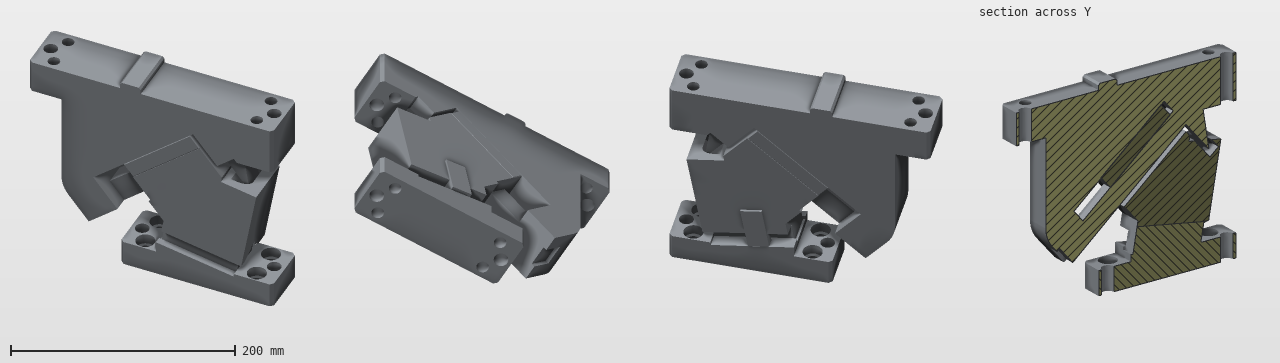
import cadquery as cq
import math

LENGTH = 240.0
WIDTH = 50.0
HALF_WIDTH = WIDTH / 2
CORNER_CHAMFER = 3.0

FLANGE_TOP = 200.0
LEFT_FLANGE_BOTTOM = 167.5
RIGHT_FLANGE_BOTTOM = 153.0
BODY_LEFT = 32.2
TIP_X = 59.0
TIP_Z = 37.0
BEND_RADIUS = 30.0
CAM_ANGLE = 40.0
CAM_FACE_LENGTH = 186.2
KEY_LEFT = 89.8
KEY_LENGTH = 20.5
KEY_HEIGHT = 6.5
KEY_CHAMFER = 2.0
SLOT_START = 36.7
SLOT_END = 165.0
SLOT_DEPTH = 37.0
RAIL_HEIGHT = 22.0
RAIL_WIDTH = 21.0
LUG_END = 188.6
LUG_SIDE_ANGLE = 9.0
NOSE_NOTCH_WIDTH = 20.5
NOSE_NOTCH_HEIGHT = 22.5
NOSE_NOTCH_DEPTH = 3.5

BASE_LEFT = 90.0
BASE_HEIGHT = 25.0
RISER_LEFT = 125.0
RISER_TOP = 35.5
BASE_ANGLE = 10.0
SLOPE_LENGTH = 77.5
RIB_START = 3.0
RIB_CENTRE_Y = -3.0
RIB_WIDTH = 30.5
RIB_SHOULDER = 14.2
RIB_ROOF_RISE = 9.0
RIB_FLAT = 7.0
RIB_GROOVE_DEPTH = 3.5

SLIDER_BOTTOM = 15.0
SLIDER_TOP = 100.3
SLIDER_LENGTH = 82.5
SHOULDER_START = 47.3
CAM_SIDE_LEFT = 75.4
CAM_SIDE_RIGHT = 160.8
SIDE_STEP = 2.6
STEP_DEPTH = 5.0
HEAD_CHAMFER = 0.7
RIB_RELIEF = 3.4
CHANNEL_CLEARANCE = 0.5
LUG_POCKET_WIDTH = 32.6
LUG_POCKET_END = 172.5
LUG_POCKET_DEPTH = 45.5
LUG_POCKET_RADIUS = 8.2
RETAINER_LEFT = 22.0
RETAINER_WIDTH = 20.0
RETAINER_BOTTOM = 2.2
RETAINER_HEIGHT = 40.8
RETAINER_OVERHANG = 2.2
RETAINER_FACE_Y = 18.2
HOOK_SETBACK = 2.0

DOWEL_DIAMETER = 13.2
DOWEL_INSET = 10.0
BOLT_DIAMETER = 11.3
BOLT_INSET = 20.2
BOLT_SPACING = 30.0
COUNTERBORE_DIAMETER = 18.0
COUNTERBORE_DEPTH = 10.0

CUT_MARGIN = 24.0


def direction(angle):
    """Unit vector along a slope, as (x, z)."""
    return math.cos(math.radians(angle)), math.sin(math.radians(angle))


def slope_plane(x, z, angle, y=0.0):
    """Plane facing -Y whose local x runs up a slope and local y rises from it."""
    dx, dz = direction(angle)
    return cq.Plane(origin=(x, y, z), xDir=(dx, 0, dz), normal=(0, -1, 0))


def to_xz(origin, angle, along, height):
    """Global (x, z) of a point given along and above a slope."""
    dx, dz = direction(angle)
    return origin[0] + along * dx - height * dz, origin[1] + along * dz + height * dx


TIP = (TIP_X, TIP_Z)
RISER = (RISER_LEFT, RISER_TOP)


def on_cam(along, height):
    return to_xz(TIP, CAM_ANGLE, along, height)


def on_base(along, height):
    return to_xz(RISER, -BASE_ANGLE, along, height)


def cam_side_meets_base_side(cam_along, base_along):
    """Point on the cam normal at cam_along and on the base normal at base_along."""
    x, z = on_cam(cam_along, 0)
    side_x, side_z = on_base(base_along, 0)
    base_dx, base_dz = direction(-BASE_ANGLE)
    gap = (side_x - x) * base_dx + (side_z - z) * base_dz
    height = gap / -math.sin(math.radians(CAM_ANGLE + BASE_ANGLE))
    return on_cam(cam_along, height)


def prism(points, width=WIDTH, centre_y=0.0):
    """Extrude an (x, z) outline symmetrically about centre_y."""
    outline = cq.Workplane(slope_plane(0, 0, 0, centre_y)).polyline(points).close()
    return outline.extrude(width / 2, both=True)


def slope_box(origin, angle, start, end, bottom, top, width, centre_y=0.0):
    """Box lying on a slope, centred on centre_y."""
    plane = slope_plane(*origin, angle, centre_y)
    outline = cq.Workplane(plane).moveTo(start, bottom).lineTo(end, bottom).lineTo(end, top)
    return outline.lineTo(start, top).close().extrude(width / 2, both=True)


def dowel_points(left):
    return [(left + DOWEL_INSET, 0), (LENGTH - DOWEL_INSET, 0)]


def bolt_points(left):
    columns = (left + BOLT_INSET, LENGTH - BOLT_INSET)
    return [(x, side * BOLT_SPACING / 2) for x in columns for side in (-1, 1)]


def drill(body, top, points, diameter, depth):
    tool = cq.Workplane("XY").workplane(offset=top).pushPoints(points)
    return body.cut(tool.circle(diameter / 2).extrude(-depth))


def holder_outline():
    cam_end = on_cam(CAM_FACE_LENGTH, 0)
    corner_x = cam_end[0] + (cam_end[1] - RIGHT_FLANGE_BOTTOM) * math.tan(math.radians(CAM_ANGLE))
    tangent = BEND_RADIUS * math.tan(math.radians(CAM_ANGLE / 2))
    nose_dx, nose_dz = direction(CAM_ANGLE + 90)
    corner_z = TIP_Z + (BODY_LEFT - TIP_X) * nose_dz / nose_dx
    middle_dx, middle_dz = direction(180 + CAM_ANGLE / 2)
    bend_start = (BODY_LEFT - tangent * nose_dx, corner_z - tangent * nose_dz)
    bend_middle = (BODY_LEFT + BEND_RADIUS * (1 + middle_dx),
                   corner_z + tangent + BEND_RADIUS * middle_dz)
    return (
        cq.Workplane(slope_plane(0, 0, 0))
        .moveTo(0, FLANGE_TOP)
        .lineTo(LENGTH, FLANGE_TOP)
        .lineTo(LENGTH, RIGHT_FLANGE_BOTTOM)
        .lineTo(corner_x, RIGHT_FLANGE_BOTTOM)
        .lineTo(*cam_end)
        .lineTo(*TIP)
        .lineTo(*bend_start)
        .threePointArc(bend_middle, (BODY_LEFT, corner_z + tangent))
        .lineTo(BODY_LEFT, LEFT_FLANGE_BOTTOM)
        .lineTo(0, LEFT_FLANGE_BOTTOM)
        .close()
    )


def make_key():
    block = cq.Workplane("XY").box(KEY_LENGTH, WIDTH, KEY_HEIGHT, centered=(False, True, False))
    block = block.faces(">Z").edges("|Y").chamfer(KEY_CHAMFER)
    return block.translate((KEY_LEFT, 0, FLANGE_TOP))


def make_lug():
    """Wedge hanging below the cam face, flush with the upper end of the slot."""
    left_x, left_z = on_cam(SLOT_END, 0)
    right_x, right_z = on_cam(LUG_END, 0)
    left_slope = math.tan(math.radians(CAM_ANGLE))
    right_slope = math.tan(math.radians(LUG_SIDE_ANGLE))
    drop = (right_x - left_x + (right_z - left_z) * right_slope) / (left_slope - right_slope)
    apex = (left_x + drop * left_slope, left_z - drop)
    return prism([(left_x, left_z), (right_x, right_z), apex], RAIL_WIDTH)


def make_holder():
    body = holder_outline().extrude(HALF_WIDTH, both=True)
    body = body.edges("|Z").edges("<X or >X").chamfer(CORNER_CHAMFER)
    body = body.union(make_key())
    slot = slope_box(TIP, CAM_ANGLE, SLOT_START, SLOT_END, -CUT_MARGIN, SLOT_DEPTH, WIDTH)
    rail = slope_box(TIP, CAM_ANGLE, SLOT_START, SLOT_END, 0, RAIL_HEIGHT, RAIL_WIDTH)
    notch = slope_box(TIP, CAM_ANGLE, 0, NOSE_NOTCH_DEPTH, 0, NOSE_NOTCH_HEIGHT, NOSE_NOTCH_WIDTH)
    body = body.cut(slot).union(rail).union(make_lug()).cut(notch)
    body = drill(body, FLANGE_TOP, dowel_points(0), DOWEL_DIAMETER, FLANGE_TOP)
    return drill(body, FLANGE_TOP, bolt_points(0), BOLT_DIAMETER, FLANGE_TOP)


def rib_section(bottom, relief=0.0):
    """Roof-shaped section as (y, height) points; relief raises the flat in a straight slot."""
    half = RIB_WIDTH / 2
    flat = RIB_FLAT / 2
    roof = RIB_SHOULDER + RIB_ROOF_RISE
    if relief:
        crown = [(-flat, roof), (-flat, roof + relief), (flat, roof + relief), (flat, roof)]
    else:
        crown = [(-flat, roof), (flat, roof)]
    return [(-half, bottom), (-half, RIB_SHOULDER), *crown, (half, RIB_SHOULDER), (half, bottom)]


def along_base_slope(section, start, end):
    """Extrude a (y, height) section down the base slope."""
    x, z = on_base(start, 0)
    dx, dz = direction(-BASE_ANGLE)
    plane = cq.Plane(origin=(x, RIB_CENTRE_Y, z), xDir=(0, 1, 0), normal=(dx, 0, dz))
    return cq.Workplane(plane).polyline(section).close().extrude(end - start)


def make_base():
    slope_end_x, slope_end_z = on_base(SLOPE_LENGTH, 0)
    step_x = slope_end_x + (BASE_HEIGHT - slope_end_z) * math.tan(math.radians(BASE_ANGLE))
    body = prism([
        (BASE_LEFT, 0),
        (LENGTH, 0),
        (LENGTH, BASE_HEIGHT),
        (step_x, BASE_HEIGHT),
        (slope_end_x, slope_end_z),
        RISER,
        (RISER_LEFT, BASE_HEIGHT),
        (BASE_LEFT, BASE_HEIGHT),
    ])
    body = body.edges("|Z").edges("<X or >X").chamfer(CORNER_CHAMFER)
    groove = slope_box(RISER, -BASE_ANGLE, -CUT_MARGIN, RIB_START, -RIB_GROOVE_DEPTH, CUT_MARGIN,
                       RIB_WIDTH, RIB_CENTRE_Y)
    rib = along_base_slope(rib_section(-RIB_GROOVE_DEPTH), RIB_START, SLOPE_LENGTH)
    body = body.cut(groove).union(rib)
    body = drill(body, BASE_HEIGHT, dowel_points(BASE_LEFT), DOWEL_DIAMETER, BASE_HEIGHT)
    body = drill(body, BASE_HEIGHT, bolt_points(BASE_LEFT), BOLT_DIAMETER, BASE_HEIGHT)
    return drill(body, BASE_HEIGHT, bolt_points(BASE_LEFT), COUNTERBORE_DIAMETER, COUNTERBORE_DEPTH)


def make_slider_block():
    return prism([
        on_cam(CAM_SIDE_LEFT, RAIL_HEIGHT),
        on_cam(CAM_SIDE_LEFT, -STEP_DEPTH),
        on_cam(CAM_SIDE_LEFT - SIDE_STEP, -STEP_DEPTH),
        cam_side_meets_base_side(CAM_SIDE_LEFT - SIDE_STEP, RIB_START),
        on_base(RIB_START, SLIDER_BOTTOM),
        on_base(SLIDER_LENGTH, SLIDER_BOTTOM),
        on_base(SLIDER_LENGTH, SLIDER_TOP),
        on_base(SHOULDER_START, SLIDER_TOP),
        cam_side_meets_base_side(CAM_SIDE_RIGHT, SHOULDER_START),
        on_cam(CAM_SIDE_RIGHT, RAIL_HEIGHT),
    ])


def make_slider_head():
    """Wear plate between the rail and the roof of the slot."""
    head = slope_box(TIP, CAM_ANGLE, CAM_SIDE_LEFT, CAM_SIDE_RIGHT, RAIL_HEIGHT, SLOT_DEPTH, WIDTH)
    return head.faces("<Y or >Y").edges().chamfer(HEAD_CHAMFER)


def make_lug_pocket():
    """Round-cornered pocket square to the cam face that clears the tip of the lug."""
    pocket = slope_box(TIP, CAM_ANGLE, CAM_SIDE_RIGHT, LUG_POCKET_END, -LUG_POCKET_DEPTH, 0,
                       LUG_POCKET_WIDTH)
    cam_dx, cam_dz = direction(CAM_ANGLE)
    end_wall = pocket.faces(cq.selectors.DirectionMinMaxSelector(cq.Vector(cam_dx, 0, cam_dz)))
    return end_wall.edges("not |Y").fillet(LUG_POCKET_RADIUS)


def make_retainer():
    """Rear plate hanging beside the rib, with a narrower hook reaching the rib."""
    top = RETAINER_BOTTOM + RETAINER_HEIGHT
    right = RETAINER_LEFT + RETAINER_WIDTH
    rear = HALF_WIDTH + RETAINER_OVERHANG
    rib_side = RIB_CENTRE_Y + RIB_WIDTH / 2
    plate = slope_box(RISER, -BASE_ANGLE, RETAINER_LEFT, right, RETAINER_BOTTOM, top,
                      rear - RETAINER_FACE_Y, (rear + RETAINER_FACE_Y) / 2)
    hook = slope_box(RISER, -BASE_ANGLE, RETAINER_LEFT + HOOK_SETBACK, right, RETAINER_BOTTOM,
                     SLIDER_BOTTOM, RETAINER_FACE_Y - rib_side, (RETAINER_FACE_Y + rib_side) / 2)
    return plate.union(hook)


def make_slider():
    channel = slope_box(TIP, CAM_ANGLE, 0, LENGTH, -STEP_DEPTH, RAIL_HEIGHT,
                        RAIL_WIDTH + 2 * CHANNEL_CLEARANCE)
    roof_groove = along_base_slope(rib_section(0, RIB_RELIEF), 0, LENGTH)
    body = make_slider_block().cut(channel).cut(make_lug_pocket()).cut(roof_groove)
    return body.union(make_slider_head()).union(make_retainer())


holder = make_holder()
base = make_base()
slider = make_slider()

result = cq.Compound.makeCompound([
    *holder.solids().vals(),
    *base.solids().vals(),
    *slider.solids().vals(),
])